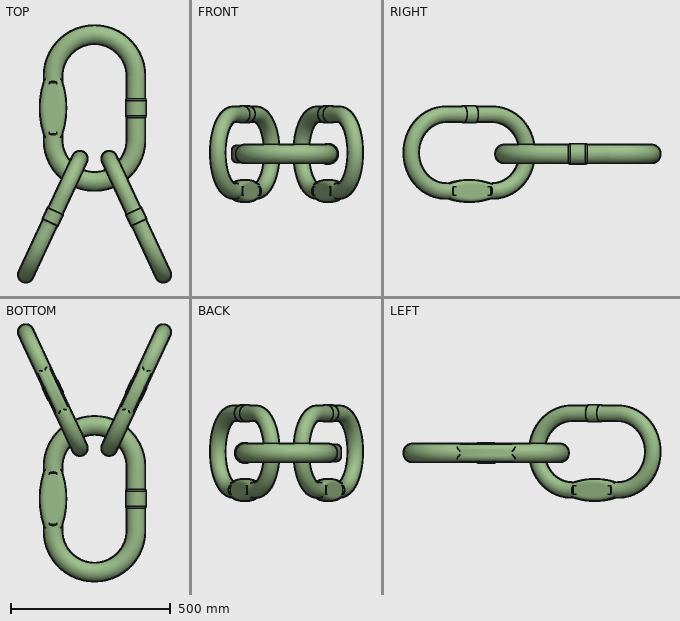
import cadquery as cq
LARGE_LINK = dict(
    wire=60.0,
    bend=130.0,
    straight=200.0,
    sleeve=64.5,
    sleeve_length=60.0,
    tag_width=85.0,
    tag_end_width=48.0,
    tag_length=193.5,
    tag_thickness=55.0,
    tag_round=18.5,
    flat_length=160.0,
)
SMALL_LINK = dict(
    wire=50.0,
    bend=120.0,
    straight=160.5,
    sleeve=54.0,
    sleeve_length=51.5,
    tag_width=70.0,
    tag_end_width=42.0,
    tag_length=156.0,
    tag_thickness=42.0,
    tag_round=14.0,
    flat_length=129.0,
)

SLEEVE_TAPER = 6.5
FLAT_RAMP = 4.0

SPREAD_ANGLE = 25.0
SMALL_OFFSET_X = 130.5
SMALL_OFFSET_Y = 340.0
SMALL_OFFSET_Z = 4.0


def link_ring(wire, bend, straight):
    """Oval ring of round wire in the XY plane, with its length along Y."""
    half = straight / 2
    ring = cq.Workplane("XY")
    for side in (-1, 1):
        leg = cq.Workplane("XZ", origin=(side * bend, half, 0)).circle(wire / 2).extrude(straight)
        arch = (
            cq.Workplane("XZ", origin=(0, side * half, 0))
            .center(bend, 0)
            .circle(wire / 2)
            .revolve(180, (-bend, 0), (-bend, side))
        )
        ring = ring.add(leg).add(arch)
    return ring.combine()


def weld_sleeve(wire, bend, diameter, length):
    """Raised band with tapered ends around the leg on the +X side."""
    half_length = length / 2
    half_band = half_length - SLEEVE_TAPER
    return (
        cq.Workplane("XY", origin=(bend, 0, 0))
        .moveTo(0, -half_length)
        .lineTo(wire / 2, -half_length)
        .lineTo(diameter / 2, -half_band)
        .lineTo(diameter / 2, half_band)
        .lineTo(wire / 2, half_length)
        .lineTo(0, half_length)
        .close()
        .revolve(360, (0, 0), (0, 1))
    )


def tag_body(bend, width, end_width, length, thickness, edge_radius):
    """Barrel-shaped tag with rounded long edges around the leg on the -X side."""
    half_width = width / 2
    half_end_width = end_width / 2
    half_length = length / 2
    return (
        cq.Workplane("XY", origin=(-bend, 0, -thickness / 2))
        .moveTo(-half_end_width, -half_length)
        .lineTo(half_end_width, -half_length)
        .threePointArc((half_width, 0), (half_end_width, half_length))
        .lineTo(-half_end_width, half_length)
        .threePointArc((-half_width, 0), (-half_end_width, -half_length))
        .close()
        .extrude(thickness)
        .faces("|Z")
        .edges("%CIRCLE")
        .fillet(edge_radius)
    )


def flat_cutter(wire, bend, thickness, flat_length):
    """Two blocks with ramped ends that level the wire above and below the tag flats."""
    half_flat = flat_length / 2
    half_thickness = thickness / 2
    rise = wire / 2 - half_thickness
    upper = (
        cq.Workplane("YZ", origin=(-bend, 0, 0))
        .moveTo(-half_flat, half_thickness)
        .lineTo(half_flat, half_thickness)
        .lineTo(half_flat + FLAT_RAMP, half_thickness + rise)
        .lineTo(-half_flat - FLAT_RAMP, half_thickness + rise)
        .close()
        .extrude(wire / 2, both=True)
    )
    return upper.add(upper.mirror("XY")).combine()


def make_link(
    wire, bend, straight,
    sleeve, sleeve_length,
    tag_width, tag_end_width, tag_length, tag_thickness, tag_round, flat_length,
):
    """One link lying in the XY plane: ring, weld sleeve and flattened tag."""
    return (
        link_ring(wire, bend, straight)
        .union(weld_sleeve(wire, bend, sleeve, sleeve_length))
        .cut(flat_cutter(wire, bend, tag_thickness, flat_length))
        .union(tag_body(bend, tag_width, tag_end_width, tag_length, tag_thickness, tag_round))
    )


def make_small_link(side):
    """Small link on edge, on the given side (-1 or +1), sleeve on top and tag at the bottom."""
    return (
        make_link(**SMALL_LINK)
        .rotate((0, 0, 0), (0, 1, 0), -90)
        .rotate((0, 0, 0), (0, 0, 1), side * SPREAD_ANGLE)
        .translate((side * SMALL_OFFSET_X, -SMALL_OFFSET_Y, SMALL_OFFSET_Z))
    )


large_link = make_link(**LARGE_LINK)
small_links = [make_small_link(side) for side in (-1, 1)]

result = cq.Compound.makeCompound(
    [large_link.solids().val()] + [link.solids().val() for link in small_links]
)